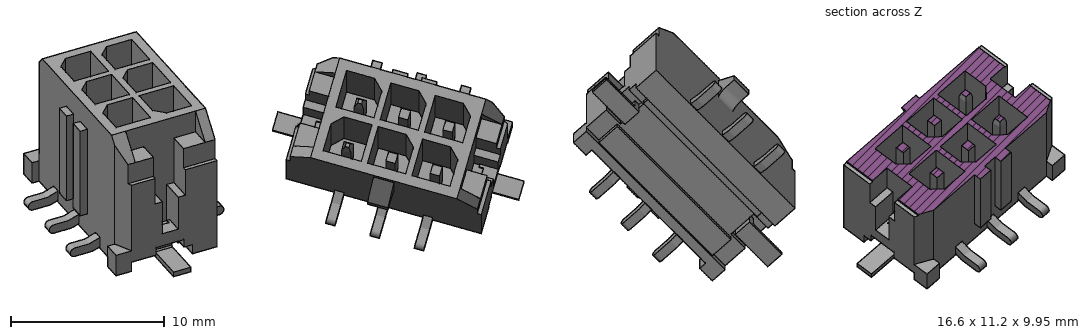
import cadquery as cq


PITCH = 3.0
COLUMN_XS = (-PITCH, 0.0, PITCH)
ROW_YS = (-PITCH / 2, PITCH / 2)

EMBED_DEPTH = 0.17

TOTAL_LENGTH = 16.65
TOTAL_WIDTH = 11.2

TOP_Z = 9.95
BOTTOM_Z = 0.05
SHOULDER_Z = 8.32
STEP_Z = 6.83
FOOT_TOP_Z = 1.66
CORE_HALF_X = 4.95
UPPER_HALF_X = 6.33
BODY_HALF_X = 6.6
HALF_Y = 3.43
CORNER_X = 5.4
CORNER_Y = -2.8
FRONT_Y = -3.95

GUSSET_BACK_Y = 2.7
GUSSET_FRONT_Y = -2.4
SLOT_CENTRE_Y = 0.02
WIDE_SLOT_WIDTH = 2.2
WIDE_SLOT_Z = 4.83
NARROW_SLOT_WIDTH = 1.17
NARROW_SLOT_Z = 2.31
WELL_X = 5.35
WELL_NOTCH_X = 5.65
WELL_NOTCH_WIDTH = 0.8
WELL_FLOOR_Z = 2.0

RIB_WIDTH = 1.02
RIB_OFFSET_X = 0.98

CAVITY_X = 2.58
CAVITY_Y = 2.51
CAVITY_CORNER = 0.68
CAVITY_FLOOR_Z = 2.33
PIN_WIDTH = 0.63
PIN_TOP_Z = 7.33
PIN_TAPER_HEIGHT = 0.8
PIN_TIP_WIDTH = 0.27

LATCH_WIDTH = 1.38
LATCH_Y = 4.85
LATCH_TOP_Z = 9.4
LATCH_NOSE_TOP_Z = 7.8
LATCH_NOSE_BOTTOM_Z = 7.05
LATCH_ARC_SIZE = 0.63
LATCH_ARC_RADIUS = 0.8

DECK_Z = 0.32
CHANNEL_Z = 0.77
CHANNEL_HALF_Y = 1.17
UNDERCUT_BACK_Y = 1.63
UNDERCUT_LENGTH = 1.2
CLIP_POCKET_HALF_Y = 1.02
CLIP_POCKET_Z = 1.37
CLIP_POCKET_X = 5.25

CLIP_HALF_X = TOTAL_LENGTH / 2
CLIP_WIDTH = 1.27
CLIP_THICKNESS = 0.37
CLIP_BEND = 0.1

LEAD_TIP_Y = TOTAL_WIDTH / 2
LEAD_WIDTH = PIN_WIDTH
LEAD_THICKNESS = 0.67
LEAD_BEND_TOP_Y = 4.23
LEAD_BEND_BOTTOM_Y = 4.0
LEAD_ROOT_TOP_Z = 1.08
LEAD_ROOT_BOTTOM_Z = 0.33
LEAD_ROOT_Y = 2.95


def block(x0, x1, y0, y1, z0, z1):
    """Axis-aligned box between opposite corners."""
    return cq.Workplane("XY").box(x1 - x0, y1 - y0, z1 - z0, centered=False).translate((x0, y0, z0))


def both_ends(shape):
    """The shape together with its mirror image at the other end of the housing."""
    return shape.union(shape.mirror("YZ"))


def housing():
    """Solid body with sloped shoulders, cut front corners, feet and front ribs."""
    half = [
        (CORE_HALF_X, TOP_Z),
        (UPPER_HALF_X, SHOULDER_Z),
        (UPPER_HALF_X, STEP_Z),
        (BODY_HALF_X, STEP_Z),
        (BODY_HALF_X, BOTTOM_Z),
    ]
    outline = half + [(-x, z) for x, z in reversed(half)]
    body = cq.Workplane("XZ").polyline(outline).close().extrude(HALF_Y, both=True)

    corner = (
        cq.Workplane("XY")
        .polyline([(-BODY_HALF_X, CORNER_Y), (-CORNER_X, -HALF_Y), (-BODY_HALF_X, -HALF_Y)])
        .close()
        .extrude(TOP_Z)
    )
    foot = block(-BODY_HALF_X, -CORNER_X, FRONT_Y, CORNER_Y, BOTTOM_Z, FOOT_TOP_Z)
    body = body.cut(both_ends(corner)).union(both_ends(foot))

    for x in (-RIB_OFFSET_X, RIB_OFFSET_X):
        rib = block(x - RIB_WIDTH / 2, x + RIB_WIDTH / 2, FRONT_Y, -HALF_Y, FOOT_TOP_Z, SHOULDER_Z)
        body = body.union(rib)
    return body


def end_recesses():
    """Shoulder cutouts and stepped slots, with a notched well in each slot floor."""
    recess = block(-BODY_HALF_X, -CORE_HALF_X, GUSSET_FRONT_Y, GUSSET_BACK_Y, SHOULDER_Z, TOP_Z)
    for width, floor_z in ((WIDE_SLOT_WIDTH, WIDE_SLOT_Z), (NARROW_SLOT_WIDTH, NARROW_SLOT_Z)):
        slot = block(
            -BODY_HALF_X, -CORE_HALF_X,
            SLOT_CENTRE_Y - width / 2, SLOT_CENTRE_Y + width / 2,
            floor_z, TOP_Z,
        )
        recess = recess.union(slot)
    well_front = SLOT_CENTRE_Y - NARROW_SLOT_WIDTH / 2
    well_back = SLOT_CENTRE_Y + NARROW_SLOT_WIDTH / 2
    well = block(-WELL_X, -CORE_HALF_X, well_front, well_back, WELL_FLOOR_Z, NARROW_SLOT_Z)
    notch = block(
        -WELL_NOTCH_X, -WELL_X,
        SLOT_CENTRE_Y - WELL_NOTCH_WIDTH / 2, SLOT_CENTRE_Y + WELL_NOTCH_WIDTH / 2,
        WELL_FLOOR_Z, NARROW_SLOT_Z,
    )
    return both_ends(recess.union(well).union(notch))


def cavity(x, y, corner_side):
    """Contact cavity with one cut corner on the front side; corner_side is -1 left, +1 right."""
    half_x = CAVITY_X / 2 * corner_side
    half_y = CAVITY_Y / 2
    outline = [
        (-half_x, half_y),
        (half_x, half_y),
        (half_x, CAVITY_CORNER - half_y),
        (half_x - CAVITY_CORNER * corner_side, -half_y),
        (-half_x, -half_y),
    ]
    opening = cq.Workplane("XY").polyline(outline).close().extrude(TOP_Z - CAVITY_FLOOR_Z)
    return opening.translate((x, y, CAVITY_FLOOR_Z))


def pin(x, y, tapered):
    """Square contact pin standing on the cavity floor, with an optional pyramidal tip."""
    straight_top = PIN_TOP_Z - PIN_TAPER_HEIGHT if tapered else PIN_TOP_Z
    base_z = CAVITY_FLOOR_Z - EMBED_DEPTH
    post = cq.Workplane("XY").rect(PIN_WIDTH, PIN_WIDTH).extrude(straight_top - base_z)
    if tapered:
        tip = (
            cq.Workplane("XY")
            .rect(PIN_WIDTH, PIN_WIDTH)
            .workplane(offset=PIN_TAPER_HEIGHT)
            .rect(PIN_TIP_WIDTH, PIN_TIP_WIDTH)
            .loft()
        )
        post = post.union(tip.translate((0, 0, straight_top - base_z)))
    return post.translate((x, y, base_z))


def latch():
    """Ramped locking latch with an arc under its nose."""
    return (
        cq.Workplane("YZ")
        .moveTo(HALF_Y, LATCH_TOP_Z)
        .lineTo(LATCH_Y, LATCH_NOSE_TOP_Z)
        .lineTo(LATCH_Y, LATCH_NOSE_BOTTOM_Z)
        .lineTo(HALF_Y + LATCH_ARC_SIZE, LATCH_NOSE_BOTTOM_Z)
        .radiusArc((HALF_Y, LATCH_NOSE_BOTTOM_Z - LATCH_ARC_SIZE), -LATCH_ARC_RADIUS)
        .close()
        .extrude(LATCH_WIDTH / 2, both=True)
    )


def underside():
    """Standoff recesses under the housing."""
    inner_x = BODY_HALF_X - UNDERCUT_LENGTH
    deck = block(-inner_x, inner_x, CORNER_Y, UNDERCUT_BACK_Y, 0, DECK_Z)
    channel = block(-BODY_HALF_X, BODY_HALF_X, -CHANNEL_HALF_Y, CHANNEL_HALF_Y, 0, CHANNEL_Z)
    undercut = block(-BODY_HALF_X, -inner_x, CORNER_Y, UNDERCUT_BACK_Y, 0, CHANNEL_Z)
    pocket = block(-BODY_HALF_X, -CLIP_POCKET_X, -CLIP_POCKET_HALF_Y, CLIP_POCKET_HALF_Y, 0, CLIP_POCKET_Z)
    return deck.union(channel).union(both_ends(undercut)).union(both_ends(pocket))


def clip():
    """L-shaped solder clip: a flat tab and an upright, with a small bevel in the bend."""
    inner_x = CLIP_POCKET_X
    outer_x = inner_x + CLIP_THICKNESS
    outline = [
        (-CLIP_HALF_X, 0),
        (-inner_x, 0),
        (-inner_x, CLIP_POCKET_Z + EMBED_DEPTH),
        (-outer_x, CLIP_POCKET_Z + EMBED_DEPTH),
        (-outer_x, CLIP_THICKNESS + CLIP_BEND),
        (-outer_x - CLIP_BEND, CLIP_THICKNESS),
        (-CLIP_HALF_X, CLIP_THICKNESS),
    ]
    return cq.Workplane("XZ").polyline(outline).close().extrude(CLIP_WIDTH / 2, both=True)


def lead(x):
    """Gull-wing lead on the back side, rounded at its tip."""
    tip_radius = LEAD_THICKNESS / 2
    return (
        cq.Workplane("YZ")
        .workplane(offset=x)
        .moveTo(LEAD_BEND_BOTTOM_Y, 0)
        .lineTo(LEAD_TIP_Y - tip_radius, 0)
        .threePointArc((LEAD_TIP_Y, tip_radius), (LEAD_TIP_Y - tip_radius, LEAD_THICKNESS))
        .lineTo(LEAD_BEND_TOP_Y, LEAD_THICKNESS)
        .lineTo(LEAD_ROOT_Y, LEAD_ROOT_TOP_Z)
        .lineTo(LEAD_ROOT_Y, LEAD_ROOT_BOTTOM_Z)
        .close()
        .extrude(LEAD_WIDTH / 2, both=True)
    )


result = housing().union(latch()).cut(end_recesses()).cut(underside())

for x in COLUMN_XS:
    last_column = x == COLUMN_XS[-1]
    for y in ROW_YS:
        mirrored = last_column and y == ROW_YS[-1]
        result = result.cut(cavity(x, y, 1 if mirrored else -1))
        result = result.union(pin(x, y, last_column))
    back_lead = lead(x)
    result = result.union(back_lead).union(back_lead.mirror("XZ"))

result = result.union(both_ends(clip()))